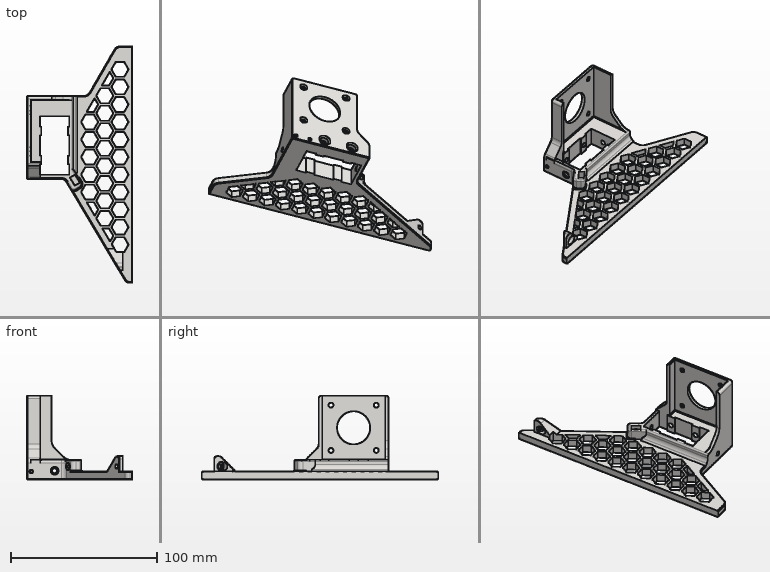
import cadquery as cq
import math

TOTAL_X = 72.08
TOTAL_Z = 57.5
BOX_Y = 57.0
Y_MIN = -71.04
Y_MAX = Y_MIN + 162.04

WING_Z = 5.5
BLOCK_Z = 13.5
BLOCK_X = 31.7
EDGE_CHAMFER = 0.6

TIP_CORNER_X = 68.2
LOWER_ROOT_X = 25.9
UPPER_ROOT_X = 41.7
BLUNT_CORNER_X = 61.3
LOWER_RADIUS = 4.0
UPPER_RADIUS = 5.0

MOTOR_Y = 33.0
MOTOR_Z = 35.4
MOTOR_POCKET = 43.0
MOTOR_BORE = 22.5
MOTOR_SCREW_PITCH = 31.0
MOTOR_SCREW_DIAMETER = 3.2
MOTOR_SCREW_CHAMFER = 1.0
WALL = BOX_Y - MOTOR_Y - MOTOR_POCKET / 2
POCKET_BASE_CHAMFER = 0.5
SIDE_FLANGE_X = 9.0
SIDE_FLANGE_Y = MOTOR_Y - MOTOR_POCKET / 2 - WALL
SIDE_SLOPE_Z = 13.4
FLANGE_TOP_RADIUS = 2.0
FLANGE_RADIUS = 5.0
BACK_FLANGE_X = 17.0
BACK_SLOPE_Z = 23.5
BACK_FLANGE_RADIUS = 8.0

SLOT_X = 20.0
SLOT_Y = 40.0
SLOT_CENTER_X = SIDE_FLANGE_X + SLOT_X / 2
SLOT_CENTER_Y = 3.0 + SLOT_Y / 2
GROOVE_PITCH = 20.0
TAB_WIDTH = 6.0
TAB_DEPTH = 1.0

SCREW_Z = 6.0
SCREW_DIAMETER = 3.4
HEAD_DIAMETER = 6.0
HEAD_DEPTH = 4.0
HEAD_CHAMFER = 1.1
END_SCREW_DIAMETER = 3.3
END_HEAD_DIAMETER = 5.4
END_HEAD_DEPTH = 1.0
PILOT_DIAMETER = 2.0
PILOT_CHAMFER = 0.25
PILOT_DEPTH = 6.0
SIDE_PILOT_Z = 3.25
SIDE_PILOT_Y = (44.0, 54.0)
FRONT_PILOT_X = 3.0
FRONT_PILOT_Z = 5.5

SENSOR_HOLE_Z = 9.0
BOSS_HOLE_Y = -3.6
LUG_HOLE_Y = -59.5
SENSOR_HOLE_DIAMETER = 3.2
BOSS_HOLE_CHAMFER = 1.0
BOSS_DEPTH = 8.5
BOSS_NOSE = 5.9
BOSS_RADIUS = 2.7
BOSS_FOOT = 0.8
BOSS_BACK = 10.0
TOP_FILLET = 1.1
NUT_LENGTH = 6.4
NUT_THICKNESS = 4.0
NUT_INSET = 5.6
NUT_FLOOR_Z = 5.5
LUG_START_Y = -47.7
LUG_END_Y = -62.5
LUG_X = 65.7
LUG_Z = 16.1
LUG_SLOPE_RADIUS = 3.4
LUG_END_RADIUS = 2.0
LUG_WEB = 2.0

GUSSET_LEG = 2.9
GUSSET_RADIUS = 5.0
GUSSET_START_Y = 4.4

HEX_FLATS = 10.0
HEX_PITCH = 12.0
HEX_COLUMN_PITCH = HEX_PITCH * math.sin(math.radians(60))
HEX_FIRST_X = 63.75
HEX_CENTER_Y = 15.1
HEX_COUNTS = (11, 10, 7)
HEX_MARGIN = 4.9

SHOULDER_RADIUS = 3.0
SHOULDER_DROP = 2.1

FAR = 200.0
REACH = 0.1

EDGE_RUN = TIP_CORNER_X - LOWER_ROOT_X
EDGE_LENGTH = math.hypot(EDGE_RUN, Y_MIN)
ALONG = (EDGE_RUN / EDGE_LENGTH, Y_MIN / EDGE_LENGTH)
INWARD = (-ALONG[1], ALONG[0])
EDGE_TURN = math.atan2(-ALONG[1], ALONG[0])
CORNER_TANGENT = LOWER_RADIUS * math.tan(EDGE_TURN / 2)


def edge_point(y):
    """Point on the lower sloping edge at the given Y."""
    return LOWER_ROOT_X + EDGE_RUN * y / Y_MIN, y


def from_edge(origin, along, inward):
    """Point moved along and square to the lower sloping edge."""
    return (
        origin[0] + along * ALONG[0] + inward * INWARD[0],
        origin[1] + along * ALONG[1] + inward * INWARD[1],
    )


def box(x, y, z):
    """Box given by (low, high) pairs."""
    solid = cq.Workplane("XY").box(x[1] - x[0], y[1] - y[0], z[1] - z[0], centered=False)
    return solid.translate((x[0], y[0], z[0]))


def span(value):
    """Narrow window round a coordinate, or an open one where none is given."""
    if value is None:
        return -FAR, FAR
    return value - REACH, value + REACH


def edge_at(solid, x=None, y=None, z=None):
    """The edges of a solid whose centers have the given coordinates."""
    low, high = zip(span(x), span(y), span(z))
    return solid.edges(cq.selectors.BoxSelector(low, high))


def x_cylinder(diameter, y, z, length):
    """Cylinder running into the part from its -X face."""
    circle = cq.Workplane("YZ", origin=(0, y, z)).circle(diameter / 2)
    return circle.extrude(length)


def cone(point, direction, large, small):
    """45 degree countersink that narrows along direction."""
    depth = (large - small) / 2
    return cq.Workplane(cq.Solid.makeCone(
        large / 2, small / 2, depth, cq.Vector(*point), cq.Vector(*direction)))


def footprint(height):
    """Wing and motor box outline as a prism."""
    prism = cq.Workplane("XY").polyline([
        (0, 0),
        (LOWER_ROOT_X, 0),
        (TIP_CORNER_X, Y_MIN),
        (TOTAL_X, Y_MIN),
        (TOTAL_X, Y_MAX),
        (BLUNT_CORNER_X, Y_MAX),
        (UPPER_ROOT_X, BOX_Y),
        (0, BOX_Y),
    ]).close().extrude(height)
    for x, y, radius in (
        (LOWER_ROOT_X, 0, LOWER_RADIUS),
        (TIP_CORNER_X, Y_MIN, LOWER_RADIUS),
        (BLUNT_CORNER_X, Y_MAX, UPPER_RADIUS),
        (UPPER_ROOT_X, BOX_Y, UPPER_RADIUS),
    ):
        prism = edge_at(prism, x=x, y=y).fillet(radius)
    return prism


def chamfer_rim(prism, face):
    """Chamfer one end of the footprint prism, leaving its straight +X edge sharp."""
    rim = prism.faces(face).edges(cq.selectors.BoxSelector(
        (-FAR, -FAR, -FAR), (TOTAL_X - EDGE_CHAMFER, FAR, FAR)))
    return rim.chamfer(EDGE_CHAMFER)


def wing():
    """Plate outside the motor wall, with its top rim chamfered."""
    plate = chamfer_rim(footprint(WING_Z), ">Z")
    return plate.intersect(box((WALL, FAR), (-FAR, FAR), (0, WING_Z)))


def boss_nose(margin):
    """Outline of the boss past its hole, grown by a margin."""
    hole = edge_point(BOSS_HOLE_Y)
    end = BOSS_NOSE + margin
    side = BOSS_DEPTH + margin
    radius = BOSS_RADIUS + margin
    bulge = radius * (1 - math.sqrt(0.5))
    return (
        cq.Workplane("XY")
        .moveTo(*from_edge(hole, 0, -margin))
        .lineTo(*from_edge(hole, end - radius, -margin))
        .threePointArc(
            from_edge(hole, end - bulge, bulge - margin),
            from_edge(hole, end, radius - margin))
        .lineTo(*from_edge(hole, end, side - radius))
        .threePointArc(
            from_edge(hole, end - bulge, side - bulge),
            from_edge(hole, end - radius, side))
        .lineTo(*from_edge(hole, 0, side))
        .close()
    )


def boss_foot():
    """45 degree foot of the boss on the wing."""
    return (
        boss_nose(BOSS_FOOT).extrude(BOSS_FOOT, taper=45)
        .translate((0, 0, WING_Z))
    )


def boss():
    """Strip along the sloping edge, rounded along its free top edges."""
    hole = edge_point(BOSS_HOLE_Y)
    strip = cq.Workplane("XY").polyline([
        from_edge(hole, -BOSS_BACK, 0),
        from_edge(hole, 0, 0),
        from_edge(hole, 0, BOSS_DEPTH),
        from_edge(hole, -BOSS_BACK, BOSS_DEPTH),
    ]).close().extrude(BLOCK_Z)
    solid = strip.union(boss_nose(0).extrude(BLOCK_Z)).clean()
    back_end = cq.selectors.NearestToPointSelector(
        (*from_edge(hole, -BOSS_BACK, BOSS_DEPTH / 2), BLOCK_Z))
    return solid.faces(">Z").edges(cq.selectors.InverseSelector(back_end)).fillet(TOP_FILLET)


def shoulder_cut():
    """Sliver that rounds the -Y top edge of the block and runs on round the inner corner."""
    start_z = BLOCK_Z - SHOULDER_DROP

    def inset(height):
        return SHOULDER_RADIUS - math.sqrt(SHOULDER_RADIUS ** 2 - height ** 2)

    straight_end = LOWER_ROOT_X - CORNER_TANGENT

    def on_corner(angle):
        return (
            straight_end + LOWER_RADIUS * math.sin(angle),
            LOWER_RADIUS * (math.cos(angle) - 1),
        )

    path = (
        cq.Workplane("XY", origin=(0, 0, start_z))
        .moveTo(SIDE_FLANGE_X, 0)
        .lineTo(straight_end, 0)
        .threePointArc(on_corner(EDGE_TURN / 2), on_corner(EDGE_TURN))
    )
    depth = inset(SHOULDER_DROP)
    section = (
        cq.Workplane("YZ", origin=(SIDE_FLANGE_X, 0, start_z))
        .moveTo(0, 0)
        .threePointArc((inset(SHOULDER_DROP / 2), SHOULDER_DROP / 2), (depth, SHOULDER_DROP))
        .lineTo(-depth, SHOULDER_DROP)
        .lineTo(-depth, 0)
        .close()
    )
    return section.sweep(path)


def block():
    """Block below the motor, filled out to the inner corner where the sloping edge begins."""
    root = edge_point(0)
    corner = cq.Workplane("XY").polyline([
        from_edge(root, -CORNER_TANGENT, -LOWER_RADIUS),
        from_edge(root, CORNER_TANGENT, -LOWER_RADIUS),
        from_edge(root, CORNER_TANGENT, BOSS_RADIUS),
        from_edge(root, -CORNER_TANGENT, BOSS_RADIUS),
    ]).close().extrude(BLOCK_Z)
    body = box((WALL, BLOCK_X), (0, BOX_Y), (0, BLOCK_Z))
    body = body.edges(">X and >Z").fillet(TOP_FILLET)
    return body.union(corner.intersect(footprint(BLOCK_Z))).cut(shoulder_cut())


def motor_wall():
    """Wall carrying the motor; its sloping -Y side is a flange of the same outline."""
    slope_end_z = SIDE_SLOPE_Z + SIDE_FLANGE_Y
    wall = cq.Workplane("YZ").polyline([
        (0, 0),
        (BOX_Y, 0),
        (BOX_Y, TOTAL_Z),
        (SIDE_FLANGE_Y, TOTAL_Z),
        (SIDE_FLANGE_Y, slope_end_z),
        (0, SIDE_SLOPE_Z),
    ]).close().extrude(SIDE_FLANGE_X)
    for y, z, radius in (
        (BOX_Y, TOTAL_Z, FLANGE_TOP_RADIUS),
        (SIDE_FLANGE_Y, TOTAL_Z, FLANGE_TOP_RADIUS),
        (SIDE_FLANGE_Y, slope_end_z, FLANGE_RADIUS),
        (0, SIDE_SLOPE_Z, FLANGE_RADIUS),
    ):
        wall = edge_at(wall, y=y, z=z).fillet(radius)
    return wall.faces("<X").edges().chamfer(EDGE_CHAMFER)


def back_flange():
    """Flange on the +Y side that widens down to the block."""
    foot_x = BACK_FLANGE_X + BACK_SLOPE_Z - BLOCK_Z
    toe_x = foot_x + BACK_FLANGE_RADIUS
    flange = cq.Workplane("XZ", origin=(0, BOX_Y, 0)).polyline([
        (WALL, 0),
        (toe_x, 0),
        (toe_x, BLOCK_Z),
        (foot_x, BLOCK_Z),
        (BACK_FLANGE_X, BACK_SLOPE_Z),
        (BACK_FLANGE_X, TOTAL_Z),
        (WALL, TOTAL_Z),
    ]).close().extrude(WALL + POCKET_BASE_CHAMFER)
    for x, z in ((foot_x, BLOCK_Z), (BACK_FLANGE_X, BACK_SLOPE_Z)):
        flange = edge_at(flange, x=x, z=z).fillet(BACK_FLANGE_RADIUS)
    flange = flange.edges("|X and >Y and >Z").fillet(FLANGE_TOP_RADIUS)
    return flange.intersect(box((0, BLOCK_X - TOP_FILLET), (0, FAR), (0, FAR)))


def gusset():
    """Sloping foot between the block and the wing."""
    top_z = WING_Z + GUSSET_LEG
    foot = cq.Workplane("XZ", origin=(0, BOX_Y, 0)).polyline([
        (BLOCK_X - WALL, 0),
        (BLOCK_X + GUSSET_LEG, 0),
        (BLOCK_X + GUSSET_LEG, WING_Z),
        (BLOCK_X, top_z),
        (BLOCK_X, top_z + GUSSET_RADIUS),
        (BLOCK_X - WALL, top_z + GUSSET_RADIUS),
    ]).close().extrude(BOX_Y - GUSSET_START_Y)
    foot = edge_at(foot, x=BLOCK_X, z=top_z).fillet(GUSSET_RADIUS)
    return foot.intersect(box((0, FAR), (-FAR, FAR), (0, BLOCK_Z - TOP_FILLET)))


def lug():
    """Triangular lug standing on the wing near its tip."""
    slope_end_y = LUG_START_Y - (LUG_Z - WING_Z)
    rib = cq.Workplane("YZ").polyline([
        (LUG_START_Y, 0),
        (LUG_START_Y, WING_Z),
        (slope_end_y, LUG_Z),
        (LUG_END_Y, LUG_Z),
        (LUG_END_Y, 0),
    ]).close().extrude(LUG_X)
    for y, radius in ((slope_end_y, LUG_SLOPE_RADIUS), (LUG_END_Y, LUG_END_RADIUS)):
        rib = edge_at(rib, y=y, z=LUG_Z).fillet(radius)
    outside = cq.Workplane("XY").polyline([
        edge_point(0),
        edge_point(Y_MIN),
        (0, Y_MIN),
        (0, 0),
    ]).close().extrude(TOTAL_Z)
    rib = rib.cut(outside)
    sloping_face = rib.faces(cq.selectors.DirectionMinMaxSelector(cq.Vector(*INWARD, 0), False))
    rim = sloping_face.edges(cq.selectors.BoxSelector(
        (-FAR, -FAR, WING_Z), (FAR, FAR, FAR)))
    return rim.chamfer(EDGE_CHAMFER)


def motor_cuts():
    """Motor pocket with its bore and four countersunk screw holes."""
    half = MOTOR_POCKET / 2
    pocket = box((WALL, FAR), (MOTOR_Y - half, MOTOR_Y + half), (BLOCK_Z, FAR))
    cuts = pocket.faces("<Z").edges("<X or <Y or >Y").chamfer(POCKET_BASE_CHAMFER)
    cuts = cuts.union(x_cylinder(MOTOR_BORE, MOTOR_Y, MOTOR_Z, WALL))
    offset = MOTOR_SCREW_PITCH / 2
    for y in (MOTOR_Y - offset, MOTOR_Y + offset):
        for z in (MOTOR_Z - offset, MOTOR_Z + offset):
            cuts = cuts.union(x_cylinder(MOTOR_SCREW_DIAMETER, y, z, WALL))
            outer = MOTOR_SCREW_DIAMETER + 2 * MOTOR_SCREW_CHAMFER
            cuts = cuts.union(cone((0, y, z), (1, 0, 0), outer, MOTOR_SCREW_DIAMETER))
    return cuts


def groove_positions():
    """Y of the two grooves in the extrusion."""
    return (SLOT_CENTER_Y - GROOVE_PITCH / 2, SLOT_CENTER_Y + GROOVE_PITCH / 2)


def slot_cut():
    """Extrusion slot, less the tabs that enter the extrusion grooves."""
    left = SLOT_CENTER_X - SLOT_X / 2
    right = SLOT_CENTER_X + SLOT_X / 2
    length = (SLOT_CENTER_Y - SLOT_Y / 2, SLOT_CENTER_Y + SLOT_Y / 2)
    slot = box((left, right), length, (0, BLOCK_Z))
    for y in groove_positions():
        width = (y - TAB_WIDTH / 2, y + TAB_WIDTH / 2)
        slot = slot.cut(box((left, left + TAB_DEPTH), width, (0, BLOCK_Z)))
        slot = slot.cut(box((right - TAB_DEPTH, right), width, (0, BLOCK_Z)))
    return slot


def side_screw_cuts():
    """Counterbored screw holes and pilot holes in the -X face."""
    cuts = cq.Workplane("XY")
    for y in groove_positions():
        cuts = cuts.union(x_cylinder(SCREW_DIAMETER, y, SCREW_Z, SLOT_CENTER_X))
        cuts = cuts.union(x_cylinder(HEAD_DIAMETER, y, SCREW_Z, HEAD_DEPTH))
        outer = HEAD_DIAMETER + 2 * HEAD_CHAMFER
        cuts = cuts.union(cone((0, y, SCREW_Z), (1, 0, 0), outer, HEAD_DIAMETER))
    for y in SIDE_PILOT_Y:
        cuts = cuts.union(x_cylinder(PILOT_DIAMETER, y, SIDE_PILOT_Z, PILOT_DEPTH))
        outer = PILOT_DIAMETER + 2 * PILOT_CHAMFER
        cuts = cuts.union(cone((0, y, SIDE_PILOT_Z), (1, 0, 0), outer, PILOT_DIAMETER))
    return cuts


def front_screw_cuts():
    """Screw hole running the length of the block, and a pilot hole, in the -Y face."""
    def y_cylinder(diameter, x, z, length):
        circle = cq.Workplane("XZ", origin=(x, 0, z)).circle(diameter / 2)
        return circle.extrude(-length)

    cuts = y_cylinder(END_SCREW_DIAMETER, SLOT_CENTER_X, SCREW_Z, BOX_Y)
    cuts = cuts.union(y_cylinder(END_HEAD_DIAMETER, SLOT_CENTER_X, SCREW_Z, END_HEAD_DEPTH))
    cuts = cuts.union(y_cylinder(PILOT_DIAMETER, FRONT_PILOT_X, FRONT_PILOT_Z, PILOT_DEPTH))
    outer = PILOT_DIAMETER + 2 * PILOT_CHAMFER
    pilot = (FRONT_PILOT_X, 0, FRONT_PILOT_Z)
    return cuts.union(cone(pilot, (0, 1, 0), outer, PILOT_DIAMETER))


def sensor_cuts():
    """Holes square to the sloping edge through boss and lug, and the nut pocket in the boss."""
    boss_hole = edge_point(BOSS_HOLE_Y)
    direction = (*INWARD, 0)

    def bore(diameter, start, length):
        return cq.Workplane(cq.Solid.makeCylinder(
            diameter / 2, length,
            cq.Vector(*start, SENSOR_HOLE_Z), cq.Vector(*direction)))

    lug_hole = edge_point(LUG_HOLE_Y)
    cuts = bore(SENSOR_HOLE_DIAMETER, boss_hole, NUT_INSET)
    cuts = cuts.union(bore(SENSOR_HOLE_DIAMETER, lug_hole, LUG_WEB))
    cuts = cuts.union(bore(HEAD_DIAMETER, from_edge(lug_hole, 0, LUG_WEB), BOSS_DEPTH))
    outer = SENSOR_HOLE_DIAMETER + 2 * BOSS_HOLE_CHAMFER
    cuts = cuts.union(cone((*boss_hole, SENSOR_HOLE_Z), direction, outer, SENSOR_HOLE_DIAMETER))
    half_length = NUT_LENGTH / 2
    front = NUT_INSET - NUT_THICKNESS / 2
    back = NUT_INSET + NUT_THICKNESS / 2
    nut = cq.Workplane("XY", origin=(0, 0, NUT_FLOOR_Z)).polyline([
        from_edge(boss_hole, -half_length, front),
        from_edge(boss_hole, half_length, front),
        from_edge(boss_hole, half_length, back),
        from_edge(boss_hole, -half_length, back),
    ]).close().extrude(BLOCK_Z)
    return cuts.union(nut)


def honeycomb_cuts():
    """Hexagonal cells, trimmed parallel to the sloping edges."""
    centers = []
    for column, count in enumerate(HEX_COUNTS):
        x = HEX_FIRST_X - column * HEX_COLUMN_PITCH
        for row in range(count):
            centers.append((x, HEX_CENTER_Y + (row - (count - 1) / 2) * HEX_PITCH))
    corner_diameter = HEX_FLATS / math.cos(math.radians(30))
    cells = cq.Workplane("XY").pushPoints(centers).polygon(6, corner_diameter).extrude(LUG_Z)

    upper_run = BLUNT_CORNER_X - UPPER_ROOT_X
    upper_rise = Y_MAX - BOX_Y
    lower_shift = HEX_MARGIN / INWARD[0]
    upper_shift = HEX_MARGIN * math.hypot(upper_run, upper_rise) / upper_rise
    apex_rise = BOX_Y - HEX_CENTER_Y
    upper_start = UPPER_ROOT_X + upper_shift - upper_run * apex_rise / upper_rise
    lower_start = edge_point(HEX_CENTER_Y)[0] + lower_shift
    inside = cq.Workplane("XY").polyline([
        (lower_start, HEX_CENTER_Y),
        (TIP_CORNER_X + lower_shift, Y_MIN),
        (FAR, Y_MIN),
        (FAR, Y_MAX),
        (BLUNT_CORNER_X + upper_shift, Y_MAX),
        (upper_start, HEX_CENTER_Y),
    ]).close().extrude(LUG_Z)
    return cells.intersect(inside)


wing_with_lug = wing().union(lug()).union(boss_foot()).cut(honeycomb_cuts())
solids = wing_with_lug.union(gusset()).union(block()).union(boss()).union(motor_wall()).union(back_flange())
envelope = chamfer_rim(footprint(TOTAL_Z), "<Z")

result = solids.intersect(envelope)
for cut in (motor_cuts(), slot_cut(), side_screw_cuts(), front_screw_cuts(), sensor_cuts()):
    result = result.cut(cut)